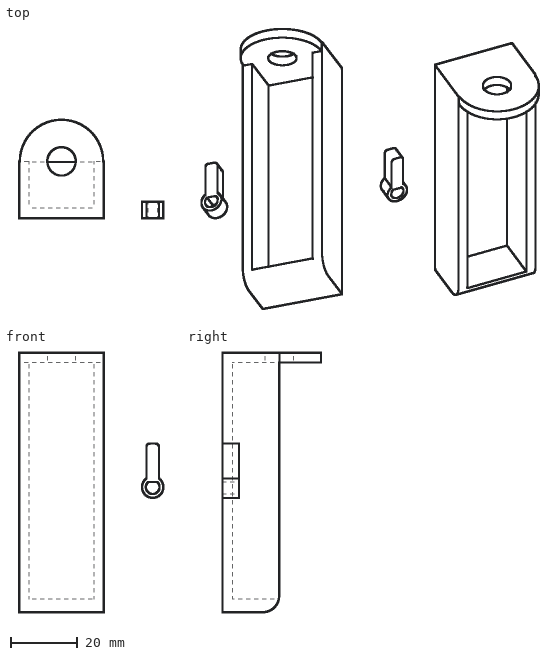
import cadquery as cq

housing_width = 25.4
housing_depth = 17.0
housing_height = 77.7
wall_thickness = 3.0
floor_thickness = 4.0
bottom_round_radius = 5.0
lug_radius = 12.5
lug_hole_diameter = 8.5

eye_diameter = 6.45
eye_hole_diameter = 4.05
eye_flat_height = 1.5
lever_depth = 5.0
stem_width = 3.8
stem_top_height = 13.05
stem_round_radius = 1.0
lever_right = 43.2
eye_x = lever_right - eye_diameter / 2
eye_z = 37.4


def make_housing():
    """Shell open towards +Y, rounded at the lower back edge, with a drilled lug at the top."""
    shell = cq.Workplane("XY").box(housing_width, housing_depth, housing_height, centered=False)
    shell = shell.faces("<Z").edges(">Y").fillet(bottom_round_radius)

    cavity = (
        cq.Workplane("XY", origin=(wall_thickness, wall_thickness, floor_thickness))
        .box(
            housing_width - 2 * wall_thickness,
            housing_depth - wall_thickness,
            housing_height - floor_thickness - wall_thickness,
            centered=False,
        )
    )

    lug_plane = cq.Workplane(
        "XY", origin=(housing_width / 2, housing_depth, housing_height - wall_thickness)
    )
    lug = lug_plane.circle(lug_radius).extrude(wall_thickness)
    hole = lug_plane.circle(lug_hole_diameter / 2).extrude(wall_thickness)
    return shell.cut(cavity).union(lug).cut(hole)


def make_lever():
    """Pierced eye whose stem runs up from the flat top of the eye hole."""
    eye_plane = cq.Workplane("XZ", origin=(eye_x, 0, eye_z))
    eye = eye_plane.circle(eye_diameter / 2).circle(eye_hole_diameter / 2).extrude(-lever_depth)

    stem_length = stem_top_height - eye_flat_height
    stem = (
        eye_plane.center(0, eye_flat_height + stem_length / 2)
        .rect(stem_width, stem_length)
        .extrude(-lever_depth)
        .faces(">Z")
        .edges("|Y")
        .fillet(stem_round_radius)
    )
    return eye.union(stem)


housing = make_housing()
lever = make_lever()

result = cq.Compound.makeCompound([housing.val(), lever.val()])